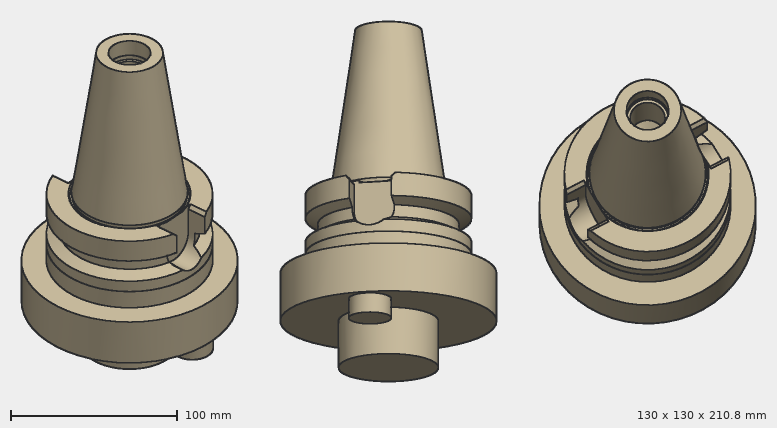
import cadquery as cq

total_height = 210.8
disc_bottom = 29.0
disc_top = 59.0
collar_step = 70.8
groove_bottom = 78.5
groove_top = 93.2
groove_bevel_height = 3.5
flange_top = 107.7
taper_bottom = 109.0

pilot_diameter = 60.0
disc_diameter = 130.0
collar_diameter = 100.1
grip_groove_diameter = 85.0
flange_diameter = 100.0
upper_collar_diameter = 100.0
taper_large_diameter = 70.0
taper_small_diameter = 40.3

relief_outer_diameter = 73.5
relief_floor_diameter = 71.9
relief_inner_diameter = 69.4
relief_depth = 1.3

mouth_diameter = 25.3
mouth_depth = 10.5
step_diameter = 25.0
step_depth = 13.5
bore_diameter = 21.0
bore_depth = 42.2
bore_tip_height = 6.1

keyway_width = 26.0
keyway_bottom = 75.3
keyway_floor_distance = 35.2
keyway_chamfer = 2.3
pin_diameter = 25.5
pin_length = 12.0
pin_distance = 49.3


def make_body():
    """Revolve the pilot, disc, grooved flange and taper as one profile."""
    profile = [
        (0, 0),
        (pilot_diameter / 2, 0),
        (pilot_diameter / 2, disc_bottom),
        (disc_diameter / 2, disc_bottom),
        (disc_diameter / 2, disc_top),
        (collar_diameter / 2, disc_top),
        (collar_diameter / 2, collar_step),
        (upper_collar_diameter / 2, collar_step),
        (upper_collar_diameter / 2, groove_bottom),
        (grip_groove_diameter / 2, groove_bottom + groove_bevel_height),
        (grip_groove_diameter / 2, groove_top - groove_bevel_height),
        (flange_diameter / 2, groove_top),
        (flange_diameter / 2, flange_top),
        (relief_outer_diameter / 2, flange_top),
        (relief_floor_diameter / 2, flange_top - relief_depth),
        (relief_inner_diameter / 2, flange_top - relief_depth),
        (relief_inner_diameter / 2, flange_top),
        (taper_large_diameter / 2, taper_bottom),
        (taper_small_diameter / 2, total_height),
        (0, total_height),
    ]
    return cq.Workplane("XZ").polyline(profile).close().revolve(360, (0, 0, 0), (0, 1, 0))


def make_bore():
    """Stepped hole with a conical bottom."""
    bore_end = total_height - bore_depth
    profile = [
        (0, total_height),
        (mouth_diameter / 2, total_height),
        (mouth_diameter / 2, total_height - mouth_depth),
        (step_diameter / 2, total_height - mouth_depth),
        (step_diameter / 2, total_height - step_depth),
        (bore_diameter / 2, total_height - step_depth),
        (bore_diameter / 2, bore_end),
        (0, bore_end - bore_tip_height),
    ]
    return cq.Workplane("XZ").polyline(profile).close().revolve(360, (0, 0, 0), (0, 1, 0))


def make_keyway():
    """Keyway cutter on the +X side, rounded below and chamfered at its mouth."""
    half_width = keyway_width / 2
    arc_center = keyway_bottom + half_width
    mouth_half_width = half_width + keyway_chamfer
    return (
        cq.Workplane("YZ", origin=(keyway_floor_distance, 0, 0))
        .moveTo(-half_width, arc_center)
        .threePointArc((0, keyway_bottom), (half_width, arc_center))
        .lineTo(half_width, flange_top - keyway_chamfer)
        .lineTo(mouth_half_width, flange_top)
        .lineTo(mouth_half_width, total_height)
        .lineTo(-mouth_half_width, total_height)
        .lineTo(-mouth_half_width, flange_top)
        .lineTo(-half_width, flange_top - keyway_chamfer)
        .close()
        .extrude(disc_diameter / 2 - keyway_floor_distance)
    )


def make_pin():
    """Drive pin hanging below the disc on the +X side."""
    return (
        cq.Workplane("XY", origin=(pin_distance, 0, disc_bottom))
        .circle(pin_diameter / 2)
        .extrude(-pin_length)
    )


result = make_body().cut(make_bore())
for side_angle in (0, 180):
    result = result.cut(make_keyway().rotate((0, 0, 0), (0, 0, 1), side_angle))
    result = result.union(make_pin().rotate((0, 0, 0), (0, 0, 1), side_angle))